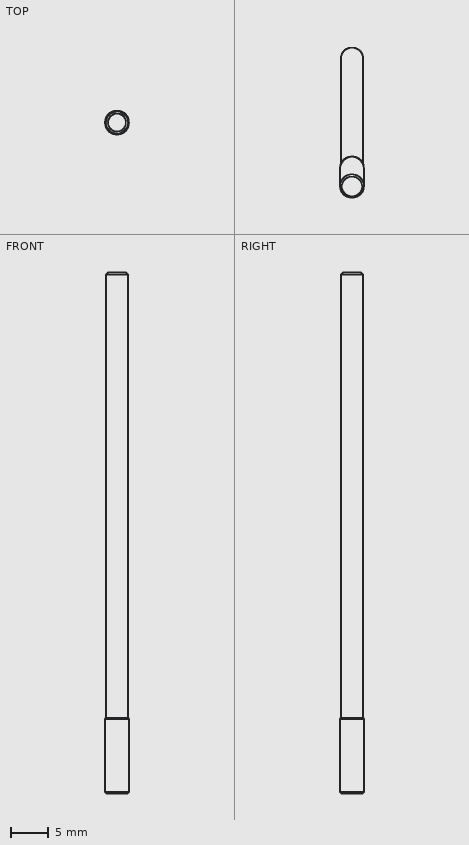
import cadquery as cq

total_length = 70.0
tip_diameter = 3.23
tip_straight_length = 10.0
tip_chamfer = 0.25
taper_height = 0.2
rod_diameter = 3.0
rod_chamfer = 0.3

tip_radius = tip_diameter / 2
rod_radius = rod_diameter / 2
tip_length = tip_straight_length + taper_height


def make_tip():
    """Thicker lower body: chamfered at the bottom, tapering to the rod diameter at the top."""
    profile = (
        cq.Workplane("XZ")
        .moveTo(0, 0)
        .lineTo(tip_radius - tip_chamfer, 0)
        .lineTo(tip_radius, tip_chamfer)
        .lineTo(tip_radius, tip_straight_length)
        .lineTo(rod_radius, tip_length)
        .lineTo(0, tip_length)
        .close()
    )
    return profile.revolve(360, (0, 0, 0), (0, 1, 0))


def make_rod():
    """Long upper body standing on the tip, chamfered at its free top end."""
    seat = cq.Workplane("XY").workplane(offset=tip_length)
    blank = seat.circle(rod_radius).extrude(total_length - tip_length)
    return blank.faces(">Z").edges().chamfer(rod_chamfer)


tip = make_tip()
rod = make_rod()
result = cq.Compound.makeCompound([tip.val(), rod.val()])